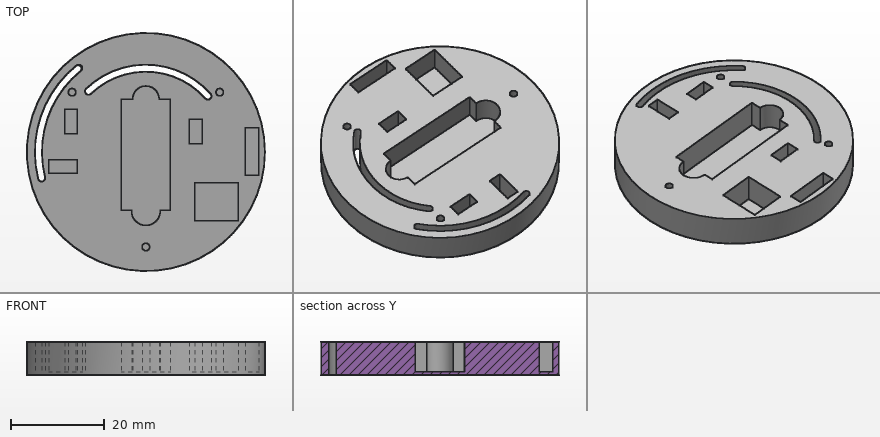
import cadquery as cq
import math

disc_diameter = 50.8
disc_thickness = 7.11

pocket_depth = 6.35
floor_z = disc_thickness - pocket_depth

main_width = 10.45
main_top_y = 11.25
main_bottom_y = -12.45
top_relief_radius = 2.82
top_relief_y = main_top_y
bottom_relief_radius = 3.05
bottom_relief_offset = 0.15
bottom_relief_y = main_bottom_y - bottom_relief_offset

side_pockets = [
    (-15.97, 6.5, 2.6, 5.25),
    (-17.67, -3.1, 6.0, 2.8),
    (10.6, 4.38, 2.8, 5.25),
    (22.6, 0.1, 2.8, 10.1),
    (15.05, -10.6, 9.25, 8.0),
]

pin_hole_diameter = 1.6
pin_circle_radius = 20.24
pin_hole_side_angle = 39
pin_hole_angles = [pin_hole_side_angle, 180 - pin_hole_side_angle, 270]

slot_width = 1.45
top_slot_center_y = 0.2
top_slot_radius = 17.66
top_slot_start_angle = 41.5
top_slot_end_angle = 133.8
left_slot_center_y = 0.0
left_slot_radius = 22.9
left_slot_start_angle = 128.6
left_slot_end_angle = 194.0

left_slot_ledge_angle = 0.6


def rectangular_pocket(center_x, center_y, size_x, size_y):
    """Box standing on the pocket floor and reaching the top face."""
    box = cq.Workplane("XY").box(size_x, size_y, pocket_depth, centered=(True, True, False))
    return box.translate((center_x, center_y, floor_z))


def round_pocket(center_x, center_y, radius):
    """Cylinder standing on the pocket floor and reaching the top face."""
    cylinder = cq.Workplane("XY").circle(radius).extrude(pocket_depth)
    return cylinder.translate((center_x, center_y, floor_z))


def main_pocket():
    length = main_top_y - main_bottom_y
    middle_y = (main_top_y + main_bottom_y) / 2
    pocket = rectangular_pocket(0, middle_y, main_width, length)
    pocket = pocket.union(round_pocket(0, top_relief_y, top_relief_radius))
    return pocket.union(round_pocket(0, bottom_relief_y, bottom_relief_radius))


def curved_slot(center_y, radius, start_angle, end_angle, height):
    """Round-ended slot following an arc about a point on the Y axis, rising from Z = 0."""

    def arc_point(distance, angle):
        turn = math.radians(angle)
        return (distance * math.cos(turn), center_y + distance * math.sin(turn))

    inner = radius - slot_width / 2
    outer = radius + slot_width / 2
    middle_angle = (start_angle + end_angle) / 2
    cap_angle = math.degrees(slot_width / 2 / radius)
    return (
        cq.Workplane("XY")
        .moveTo(*arc_point(outer, start_angle))
        .threePointArc(arc_point(outer, middle_angle), arc_point(outer, end_angle))
        .threePointArc(arc_point(radius, end_angle + cap_angle), arc_point(inner, end_angle))
        .threePointArc(arc_point(inner, middle_angle), arc_point(inner, start_angle))
        .threePointArc(arc_point(radius, start_angle - cap_angle), arc_point(outer, start_angle))
        .close()
        .extrude(height)
    )


def top_slot():
    return curved_slot(
        top_slot_center_y, top_slot_radius, top_slot_start_angle, top_slot_end_angle, disc_thickness
    )


def left_slot():
    upper = curved_slot(
        left_slot_center_y, left_slot_radius, left_slot_start_angle, left_slot_end_angle, pocket_depth
    )
    lower_start_angle = left_slot_start_angle + left_slot_ledge_angle
    lower = curved_slot(
        left_slot_center_y, left_slot_radius, lower_start_angle, left_slot_end_angle, disc_thickness
    )
    return lower.union(upper.translate((0, 0, floor_z)))


result = cq.Workplane("XY").circle(disc_diameter / 2).extrude(disc_thickness)

result = result.cut(main_pocket())

for pocket in side_pockets:
    result = result.cut(rectangular_pocket(*pocket))

for angle in pin_hole_angles:
    hole_x = pin_circle_radius * math.cos(math.radians(angle))
    hole_y = pin_circle_radius * math.sin(math.radians(angle))
    result = result.cut(round_pocket(hole_x, hole_y, pin_hole_diameter / 2))

result = result.cut(top_slot())
result = result.cut(left_slot())